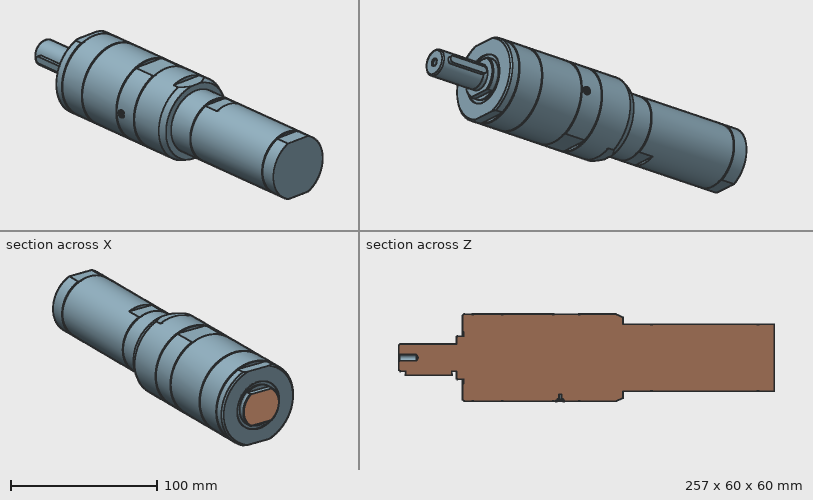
import cadquery as cq
import math

total_length = 257.0

shaft_diameter = 19.0
shaft_seat_diameter = 18.8
shaft_seat_start = 36.0
shaft_chamfer = 1.0

collar_diameter = 29.95
collar_start = 39.5
collar_chamfer = 0.7
collar_across_flats = 24.0

joint_depth = 0.4
body_joints = [50.7, 70.8, 105.7, 123.5]
motor_joints = [173.0, 245.8]

body_diameter = 60.0
body_start = 43.5
body_end = 153.5
front_chamfer = 1.2
cone_start = 148.6
cone_end_diameter = 55.6
body_across_flats = 55.0
rear_flat_start = 144.0
body_flats = [(body_start, body_joints[0]), (body_joints[2], body_joints[3]), (rear_flat_start, body_end)]

seal_diameter = 35.0
seal_depth = 1.0

motor_diameter = 46.0
motor_across_flats = 42.0
motor_notch_end = 185.0
motor_flats = [(motor_joints[0], motor_notch_end), (motor_joints[1], total_length)]

key_width = 5.0
key_length = 32.0
key_start = 4.6
key_height = 5.0
key_top = 12.0
key_bottom = key_top - key_height

centre_hole_diameter = 4.13
centre_mouth_diameter = 5.5
centre_hole_depth = 12.0

port_position = 110.5
port_steps = [(5.5, 0.8), (4.0, 1.6), (1.55, 5.0)]

drill_point_half_angle = math.radians(59)


def turned_profile():
    """Shaft, collar, body and motor as one revolved solid."""
    shaft_radius = shaft_diameter / 2
    seat_radius = shaft_seat_diameter / 2
    collar_radius = collar_diameter / 2
    body_radius = body_diameter / 2
    motor_radius = motor_diameter / 2
    points = [
        (0, 0),
        (0, shaft_radius - shaft_chamfer),
        (shaft_chamfer, shaft_radius),
        (shaft_seat_start, shaft_radius),
        (shaft_seat_start, seat_radius),
        (collar_start, seat_radius),
        (collar_start, collar_radius - collar_chamfer),
        (collar_start + collar_chamfer, collar_radius),
        (body_start, collar_radius),
        (body_start, body_radius - front_chamfer),
        (body_start + front_chamfer, body_radius),
        (cone_start, body_radius),
        (body_end, cone_end_diameter / 2),
        (body_end, motor_radius),
        (total_length, motor_radius),
        (total_length, 0),
    ]
    profile = cq.Workplane("XY").polyline(points).close()
    return profile.revolve(360, (0, 0, 0), (1, 0, 0))


def flats(start, end, diameter, across_flats):
    """Material outside two parallel flats, on the +Z and -Z sides of a round section."""
    section = cq.Workplane("YZ", origin=(start, 0, 0))
    cut_height = (diameter - across_flats) / 2
    cut_centre = (diameter + across_flats) / 4
    cuts = section.pushPoints([(0, cut_centre), (0, -cut_centre)])
    return cuts.rect(diameter, cut_height).extrude(end - start)


def joint_groove(position, diameter):
    """V-shaped ring that is cut into a cylinder of the given diameter."""
    radius = diameter / 2
    points = [
        (position - joint_depth, radius),
        (position, radius - joint_depth),
        (position + joint_depth, radius),
    ]
    return cq.Workplane("XY").polyline(points).close().revolve(360, (0, 0, 0), (1, 0, 0))


def seal_recess():
    """Shallow ring between the collar and the seal diameter."""
    ring = cq.Workplane("YZ", origin=(body_start, 0, 0)).circle(seal_diameter / 2)
    return ring.circle(collar_diameter / 2).extrude(seal_depth)


def shaft_key():
    """Round-ended key standing out of the shaft on the -Y side."""
    centre = key_start + key_length / 2
    plan = cq.Workplane("XZ", origin=(centre, -key_bottom, 0)).slot2D(key_length, key_width)
    return plan.extrude(key_height)


def centre_hole():
    """Blind hole with a 45 degree mouth and a drill point."""
    radius = centre_hole_diameter / 2
    mouth_radius = centre_mouth_diameter / 2
    points = [
        (0, 0),
        (0, mouth_radius),
        (mouth_radius - radius, radius),
        (centre_hole_depth, radius),
        (centre_hole_depth + radius / math.tan(drill_point_half_angle), 0),
    ]
    return cq.Workplane("XY").polyline(points).close().revolve(360, (0, 0, 0), (1, 0, 0))


def port_step(diameter, depth):
    """Flat-bottomed bore entering the body from the -Y side."""
    bore = cq.Workplane("XZ", origin=(port_position, depth - body_diameter / 2, 0))
    return bore.circle(diameter / 2).extrude(depth)


result = turned_profile()
for start, end in body_flats:
    result = result.cut(flats(start, end, body_diameter, body_across_flats))
for start, end in motor_flats:
    result = result.cut(flats(start, end, motor_diameter, motor_across_flats))
result = result.cut(flats(collar_start, body_start, collar_diameter, collar_across_flats))
for position in body_joints:
    result = result.cut(joint_groove(position, body_diameter))
for position in motor_joints:
    result = result.cut(joint_groove(position, motor_diameter))
result = result.cut(seal_recess())
result = result.union(shaft_key())
result = result.cut(centre_hole())
for diameter, depth in port_steps:
    result = result.cut(port_step(diameter, depth))